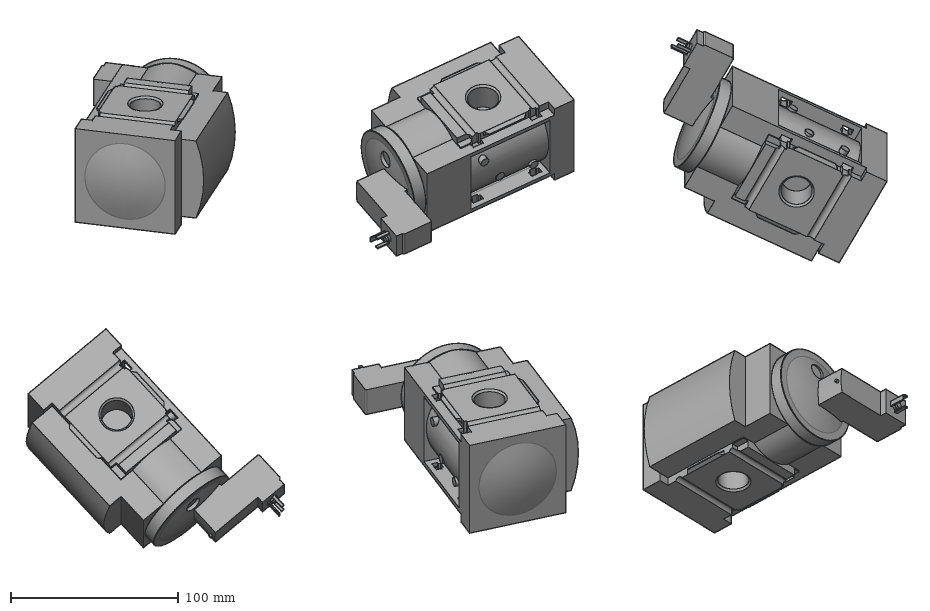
import cadquery as cq
import math


total_length = 152.9
body_size = 62.0
half_body = body_size / 2
body_length = 104.1
core_half_height = 25.5
foot_length = 13.9
pad_end = 76.0
pad_half_width = 24.2
bulge_half_width = 15.0
bulge_top = 30.5
front_dome_radius = 24.9
front_dome_height = 4.1

port_y = 44.8
port_diameter = 18.7
port_chamfer = 1.2
port_depth = 18.3
groove_diameter = 5.0
groove_depth = 1.8
groove_offset = 22.0
step_floor = 26.5
step_half_width = 20.0
step_start = 67.0

lip_half_length = 15.0
lip_width = 2.6
lip_bottom = 27.7
lip_shoulder = 28.6
lip_shoulder_width = 0.3
lip_top = 30.9
lip_tip_bottom = 29.5
lip_tip_top = 30.0

slot_offset = 20.6
slot_head_length = 7.0
slot_head_start = -27.4
slot_head_end = -23.9
slot_neck_length = 4.3
slot_neck_end = -22.5

window_start = 17.1
window_end = 73.1
window_half_height = 22.8
inner_radius = 29.4
inner_half_height = 20.8
pin_tip = -29.8
flush_pin_tip = -28.9
side_pins = [
    (62.4, 11.0, 5.5, pin_tip),
    (50.9, -8.5, 5.8, flush_pin_tip),
    (27.5, -11.0, 5.5, pin_tip),
]

wing_end = 84.0
wing_edge = 40.0
wing_tip = 44.8

cap_diameter = 60.0
cap_length = 8.1
cap_chamfer = 0.3
cap_end = body_length + cap_length
rear_dome_height = 3.0
rear_dome_radius = 24.9
access_diameter = 10.0
access_z = 16.0

pilot_half_height = 8.7
pilot_end = 134.1
valve_left = -22.3
valve_edge = 0.0
valve_tip = 0.8
coil_left = -52.0
coil_start = 114.0
coil_edge_radius = 0.9
plug_left = -50.9
plug_right = -33.6
plug_end = 138.4
contact_x = -42.2
contact_width = 2.0
contact_thickness = 0.9
contact_offset = 4.0
contact_end = 147.0
earth_x = -38.0
earth_width = 3.4
earth_end = total_length - front_dome_height
collar_diameters = (5.0, 3.8)
collar_step = 1.4
button_diameter = 2.0
button_y = 131.3
button_tip = 2.3

overlap = 0.8


def block(x_range, y_range, z_range):
    """Box spanning the given (low, high) ranges."""
    size = [high - low for low, high in (x_range, y_range, z_range)]
    corner = cq.Vector(x_range[0], y_range[0], z_range[0])
    return cq.Workplane(cq.Solid.makeBox(*size, corner))


def slab(half_width, y_range, half_height):
    """Box centred on the main axis."""
    return block((-half_width, half_width), y_range, (-half_height, half_height))


def rod(diameter, y_range, x=0.0, z=0.0):
    """Cylinder along Y."""
    length = y_range[1] - y_range[0]
    start = cq.Vector(x, y_range[0], z)
    return cq.Workplane(cq.Solid.makeCylinder(diameter / 2, length, start, cq.Vector(0, 1, 0)))


def along_y(start):
    """XZ sketch plane at Y = start whose extrusions grow toward +Y; local x is X, local y is -Z."""
    return cq.Workplane(cq.Plane((0, start, 0), (1, 0, 0), (0, 1, 0)))


def dome(base_y, radius, height, direction):
    """Spherical cap on the main axis, with a short rim sunk into the face below it."""
    sphere_radius = (radius**2 + height**2) / (2 * height)
    half_angle = math.asin(radius / sphere_radius) / 2
    mid_x = sphere_radius * math.sin(half_angle)
    mid_rise = height - sphere_radius * (1 - math.cos(half_angle))
    return (
        cq.Workplane("XY")
        .moveTo(0, base_y - direction * overlap)
        .lineTo(radius, base_y - direction * overlap)
        .lineTo(radius, base_y)
        .threePointArc((mid_x, base_y + direction * mid_rise), (0, base_y + direction * height))
        .close()
        .revolve(360, (0, 0, 0), (0, 1, 0))
    )


def both_faces(shape):
    """The shape together with its mirror image in Z."""
    return shape.union(shape.mirror("XY"))


def body():
    solid = slab(half_body, (0, body_length), core_half_height)
    solid = solid.union(slab(half_body, (0, foot_length), half_body))
    solid = solid.union(slab(pad_half_width, (0, pad_end), half_body))
    bulge = (
        along_y(pad_end - overlap)
        .moveTo(-bulge_half_width, core_half_height)
        .threePointArc((0, bulge_top), (bulge_half_width, core_half_height))
        .lineTo(bulge_half_width, -core_half_height)
        .threePointArc((0, -bulge_top), (-bulge_half_width, -core_half_height))
        .close()
        .extrude(body_length - pad_end + overlap)
    )
    solid = solid.union(bulge)
    return solid.union(dome(0, front_dome_radius, front_dome_height, -1))


def wing():
    inner_x = half_body - overlap
    return (
        along_y(foot_length)
        .moveTo(inner_x, -core_half_height)
        .lineTo(wing_edge, -core_half_height)
        .threePointArc((wing_tip, 0), (wing_edge, core_half_height))
        .lineTo(inner_x, core_half_height)
        .close()
        .extrude(wing_end - foot_length)
    )


def lips():
    """Tapered lips with 45 degree ends along both sides of the upper and lower pads."""
    tip_x = pad_half_width + lip_width
    tip_half_length = lip_half_length - lip_width
    root_low, root_high = port_y - lip_half_length, port_y + lip_half_length
    tip_low, tip_high = port_y - tip_half_length, port_y + tip_half_length
    outline = [
        (pad_half_width, root_low),
        (tip_x, tip_low),
        (tip_x, tip_high),
        (pad_half_width, root_high),
        (-pad_half_width, root_high),
        (-tip_x, tip_high),
        (-tip_x, tip_low),
        (-pad_half_width, root_low),
    ]
    plan = cq.Workplane("XY").workplane(offset=lip_bottom).polyline(outline).close()
    plan = plan.extrude(lip_top - lip_bottom)
    right_section = [
        (pad_half_width, lip_bottom),
        (pad_half_width + lip_shoulder_width, lip_shoulder),
        (tip_x, lip_tip_bottom),
        (tip_x, lip_tip_top),
        (pad_half_width, lip_top),
    ]
    left_section = [(-x, z) for x, z in reversed(right_section)]
    section = cq.Workplane("XZ", origin=(0, root_high, 0)).polyline(right_section + left_section)
    bar = section.close().extrude(root_high - root_low)
    return both_faces(bar.intersect(plan))


def pad_cuts():
    """Ports, cross grooves and corner steps of both pads."""
    mouth_radius = port_diameter / 2 + port_chamfer
    floor_z = half_body - port_depth
    cuts = (
        cq.Workplane("XZ", origin=(0, port_y, 0))
        .polyline([
            (0, half_body),
            (mouth_radius, half_body),
            (port_diameter / 2, half_body - port_chamfer),
            (port_diameter / 2, floor_z),
            (0, floor_z),
        ])
        .close()
        .revolve(360, (0, 0, 0), (0, 1, 0))
    )
    groove_z = half_body - groove_depth + groove_diameter / 2
    for side in (-1, 1):
        groove = (
            cq.Workplane("YZ")
            .center(port_y + side * groove_offset, groove_z)
            .circle(groove_diameter / 2)
            .extrude(pad_half_width, both=True)
        )
        x_range = sorted((side * step_half_width, side * pad_half_width))
        step = block(x_range, (step_start, pad_end), (step_floor, half_body))
        cuts = cuts.union(groove).union(step)
    return both_faces(cuts)


def window():
    """Pocket in the left side that leaves the inner cylinder standing between two round reliefs."""
    length = window_end - window_start
    relief_radius = (window_half_height - inner_half_height) / 2
    relief_z = inner_half_height + relief_radius
    ledge_x = -math.sqrt(inner_radius**2 - inner_half_height**2)
    return (
        along_y(window_start)
        .moveTo(-half_body, -window_half_height)
        .lineTo(ledge_x, -window_half_height)
        .threePointArc((ledge_x + relief_radius, -relief_z), (ledge_x, -inner_half_height))
        .threePointArc((-inner_radius, 0), (ledge_x, inner_half_height))
        .threePointArc((ledge_x + relief_radius, relief_z), (ledge_x, window_half_height))
        .lineTo(-half_body, window_half_height)
        .close()
        .extrude(length)
    )


def flange_slots():
    """T-shaped slots that run from the pad faces down into the window."""
    z_range = (inner_half_height, half_body)
    slots = cq.Workplane("XY")
    for side in (-1, 1):
        y = port_y + side * slot_offset
        head_half = slot_head_length / 2
        neck_half = slot_neck_length / 2
        head = block((slot_head_start, slot_head_end), (y - head_half, y + head_half), z_range)
        neck = block((slot_head_start, slot_neck_end), (y - neck_half, y + neck_half), z_range)
        slots = slots.add(head).add(neck)
    return both_faces(slots.combine())


def window_pins():
    pins = cq.Workplane("YZ")
    root_x = -inner_half_height
    for y, z, diameter, tip_x in side_pins:
        start = cq.Vector(root_x, y, z)
        pins = pins.add(
            cq.Solid.makeCylinder(diameter / 2, root_x - tip_x, start, cq.Vector(-1, 0, 0))
        )
    return pins.combine()


def rear_cap():
    disc = rod(cap_diameter, (body_length, cap_end)).edges().chamfer(cap_chamfer)
    cap = disc.union(dome(cap_end, rear_dome_radius, rear_dome_height, 1))
    return cap.cut(rod(access_diameter, (cap_end, cap_end + rear_dome_height), z=access_z))


def pilot_valve():
    z_range = (-pilot_half_height, pilot_half_height)
    valve_start = cap_end - overlap
    valve = (
        along_y(valve_start)
        .moveTo(valve_left, -pilot_half_height)
        .lineTo(valve_edge, -pilot_half_height)
        .threePointArc((valve_tip, 0), (valve_edge, pilot_half_height))
        .lineTo(valve_left, pilot_half_height)
        .close()
        .extrude(pilot_end - valve_start)
    )
    coil = block((coil_left, valve_left), (coil_start, pilot_end), z_range)
    coil = coil.edges("|Z and <X").fillet(coil_edge_radius)
    plug = block((plug_left, plug_right), (pilot_end - overlap, plug_end), z_range)
    button = cq.Workplane("YZ").center(button_y, 0).circle(button_diameter / 2).extrude(button_tip)
    return valve.union(coil).union(plug).union(button)


def plug_contacts():
    root = plug_end - overlap
    earth_half_x = contact_thickness / 2
    earth_half_z = earth_width / 2
    contacts = block(
        (earth_x - earth_half_x, earth_x + earth_half_x),
        (root, earth_end),
        (-earth_half_z, earth_half_z),
    )
    half_x = contact_width / 2
    half_z = contact_thickness / 2
    for z in (-contact_offset, contact_offset):
        blade = block(
            (contact_x - half_x, contact_x + half_x),
            (root, contact_end),
            (z - half_z, z + half_z),
        )
        contacts = contacts.union(blade)
    for level, diameter in enumerate(collar_diameters, start=1):
        collar = rod(diameter, (root, plug_end + level * collar_step), contact_x)
        contacts = contacts.union(collar)
    return contacts


result = body().union(wing()).union(lips())
result = result.cut(pad_cuts()).cut(window()).cut(flange_slots())
result = result.union(window_pins()).union(rear_cap())
result = result.union(pilot_valve()).union(plug_contacts())